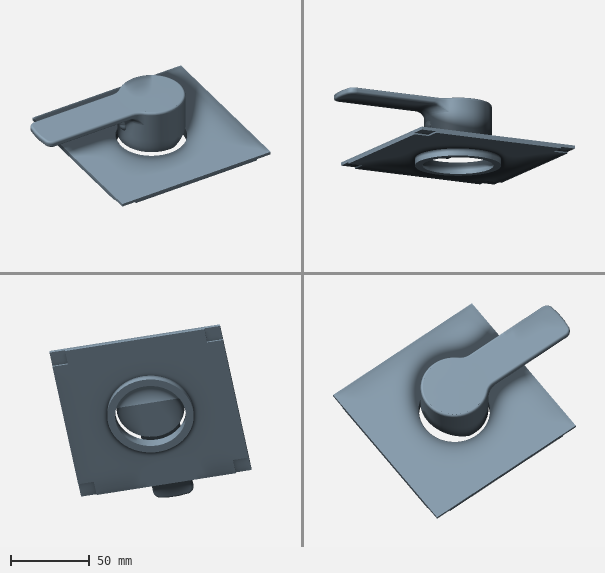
import cadquery as cq
import math

plate_side = 110.0
plate_thickness = 3.0
corner_notch = 10.1
corner_thickness = 2.0
spigot_radius = 27.4
spigot_height = 4.6
bore_radius = 22.5
bore_chamfer = 0.4

overall_height = 39.7
overall_length = 139.9
hub_radius = 21.5
dome_height = 0.21
hub_bottom = 9.4
hub_slope_start = 3.9
hub_slope_rise = 8.3
edge_round = 1.5

lever_width = 26.0
lever_thickness = 4.3
lever_reach = overall_length - plate_side / 2
lever_corner_radius = 5.0
lever_end_radius = 50.4
flare_radius = 10.0
underside_radius = 5.0

button_height = 23.4
button_radius = 3.8
button_projection = 2.0
button_cap_radius = (button_radius**2 + button_projection**2) / (2 * button_projection)

plate_top = spigot_height + plate_thickness
hub_top = overall_height - dome_height
lever_underside = hub_top - lever_thickness


def make_plate():
    backing_thickness = plate_thickness - corner_thickness
    plate = (
        cq.Workplane("XY")
        .workplane(offset=spigot_height)
        .rect(plate_side, plate_side)
        .extrude(plate_thickness)
    )
    notches = (
        cq.Workplane("XY")
        .workplane(offset=spigot_height)
        .rect(plate_side - corner_notch, plate_side - corner_notch, forConstruction=True)
        .vertices()
        .rect(corner_notch, corner_notch)
        .extrude(backing_thickness)
    )
    spigot = cq.Workplane("XY").circle(spigot_radius).extrude(spigot_height)
    bore = cq.Workplane("XY").circle(bore_radius).extrude(plate_top)
    plate = plate.cut(notches).union(spigot).cut(bore)
    return plate.faces(">Z").edges("%CIRCLE").chamfer(bore_chamfer)


def make_hub():
    hub = (
        cq.Workplane("XY")
        .workplane(offset=hub_bottom)
        .circle(hub_radius)
        .extrude(hub_top - hub_bottom)
    )
    sloped_waste = (
        cq.Workplane("YZ")
        .moveTo(hub_slope_start, hub_bottom)
        .lineTo(hub_radius, hub_bottom)
        .lineTo(hub_radius, hub_bottom + hub_slope_rise)
        .close()
        .extrude(hub_radius, both=True)
    )
    return hub.cut(sloped_waste)


def make_lever():
    half_width = lever_width / 2

    flare_x = half_width + flare_radius
    flare_y = -math.sqrt((hub_radius + flare_radius) ** 2 - flare_x**2)
    hub_share = hub_radius / (hub_radius + flare_radius)
    root_x = flare_x * hub_share
    root_y = flare_y * hub_share
    root_angle = math.atan2(-flare_y, flare_x)
    flare_mid_x = flare_x - flare_radius * math.cos(root_angle / 2)
    flare_mid_y = flare_y + flare_radius * math.sin(root_angle / 2)

    end_y = -lever_reach + lever_end_radius - math.sqrt(lever_end_radius**2 - half_width**2)

    outline = (
        cq.Workplane("XY")
        .workplane(offset=lever_underside - underside_radius)
        .moveTo(0, 0)
        .lineTo(-root_x, root_y)
        .threePointArc((-flare_mid_x, flare_mid_y), (-half_width, flare_y))
        .lineTo(-half_width, end_y)
        .threePointArc((0, -lever_reach), (half_width, end_y))
        .lineTo(half_width, flare_y)
        .threePointArc((flare_mid_x, flare_mid_y), (root_x, root_y))
        .close()
        .extrude(lever_thickness + underside_radius)
    )
    end_corners = cq.selectors.BoxSelector(
        (-lever_width, end_y - edge_round, 0),
        (lever_width, end_y + edge_round, overall_height),
    )
    outline = outline.edges("|Z").edges(end_corners).fillet(lever_corner_radius)

    section_reach = lever_reach + lever_width
    bend = underside_radius * (1 - math.sqrt(0.5))
    section = (
        cq.Workplane("XZ")
        .moveTo(0, lever_underside - underside_radius)
        .lineTo(hub_radius, lever_underside - underside_radius)
        .threePointArc(
            (hub_radius + bend, lever_underside - bend),
            (hub_radius + underside_radius, lever_underside),
        )
        .lineTo(section_reach, lever_underside)
        .lineTo(section_reach, hub_top)
        .lineTo(0, hub_top)
        .close()
        .revolve(360, (0, 0, 0), (0, 1, 0))
    )
    lever = outline.intersect(section)

    side_bottoms = [
        cq.selectors.BoxSelector(
            (side * half_width / 2, -lever_reach, lever_underside - underside_radius),
            (side * lever_width, root_y - edge_round, lever_underside + edge_round),
        )
        for side in (-1, 1)
    ]
    end_bottom = cq.selectors.NearestToPointSelector((0, -lever_reach, lever_underside))
    return lever.edges(side_bottoms[0] + side_bottoms[1] + end_bottom).fillet(edge_round)


def make_button():
    return (
        cq.Workplane("YZ")
        .moveTo(0, button_height)
        .lineTo(-hub_radius - button_projection, button_height)
        .radiusArc((-hub_radius, button_height + button_radius), button_cap_radius)
        .lineTo(0, button_height + button_radius)
        .close()
        .revolve(360, (0, button_height, 0), (1, button_height, 0))
    )


def add_dome(handle):
    """Crown the hub with a shallow dome, kept inside the rounded rim of the flat top."""
    sphere_radius = (hub_radius**2 + dome_height**2) / (2 * dome_height)
    dome = (
        cq.Workplane("XZ")
        .moveTo(0, hub_top)
        .lineTo(0, overall_height)
        .radiusArc((hub_radius, hub_top), sphere_radius)
        .close()
        .revolve(360, (0, 0, 0), (0, 1, 0))
    )
    flat_top = handle.faces(">Z").wires().toPending().extrude(dome_height, combine=False)
    return handle.union(dome.intersect(flat_top))


def make_handle():
    handle = make_hub().union(make_lever())
    handle = handle.faces(">Z").edges().fillet(edge_round)
    return add_dome(handle).union(make_button())


plate = make_plate()
handle = make_handle()

result = cq.Compound.makeCompound([plate.val(), handle.val()])